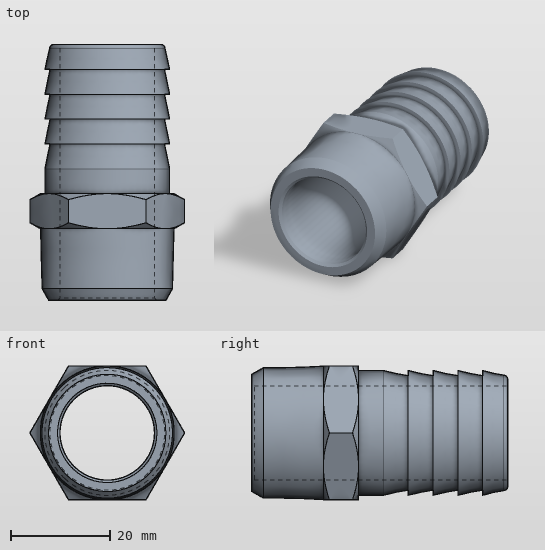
import cadquery as cq
import math

total_length = 51.5
thread_chamfer_length = 2.35
hex_start = 14.4
hex_end = 21.5
barb_pitch = 5.0
barb_count = 4
collar_end = 26.45
tip_rounding = 0.9

thread_end_radius = 11.8
thread_small_radius = 13.15
thread_large_radius = 13.45
barb_radius = 12.55
barb_root_radius = 11.55
tip_radius = 11.65
bore_radius = 9.5
bore_mouth_radius = 10.0

across_flats = 27.0
across_corners = across_flats / math.cos(math.pi / 6)
hex_chamfer_angle = math.radians(30)


def revolve_about_y(profile):
    return profile.close().revolve(360, (0, 0, 0), (0, 1, 0))


def thread_body():
    """Tapered thread blank with a chamfered end, reaching into the hexagon."""
    profile = (
        cq.Workplane("XY")
        .moveTo(0, 0)
        .lineTo(thread_end_radius, 0)
        .lineTo(thread_small_radius, thread_chamfer_length)
        .lineTo(thread_large_radius, hex_start)
        .lineTo(0, hex_start)
    )
    return revolve_about_y(profile)


def hexagon():
    """Hexagonal nut section with conical chamfers on both ends."""
    length = hex_end - hex_start
    prism = (
        cq.Workplane("XZ", origin=(0, hex_end, 0))
        .polygon(6, across_corners)
        .extrude(length)
    )
    flat_radius = across_flats / 2
    corner_radius = across_corners / 2
    drop = (corner_radius - flat_radius) * math.tan(hex_chamfer_angle)
    cone = (
        cq.Workplane("XY")
        .moveTo(0, hex_start)
        .lineTo(flat_radius, hex_start)
        .lineTo(corner_radius, hex_start + drop)
        .lineTo(corner_radius, hex_end - drop)
        .lineTo(flat_radius, hex_end)
        .lineTo(0, hex_end)
    )
    return prism.intersect(revolve_about_y(cone))


def hose_barb():
    """Plain collar followed by saw-tooth barbs and a rounded tip."""
    profile = (
        cq.Workplane("XY")
        .moveTo(0, hex_end)
        .lineTo(barb_radius, hex_end)
        .lineTo(barb_radius, collar_end)
    )
    for index in range(1, barb_count + 1):
        barb_edge = collar_end + index * barb_pitch
        profile = profile.lineTo(barb_root_radius, barb_edge).lineTo(barb_radius, barb_edge)
    round_start = total_length - tip_rounding
    profile = (
        profile.lineTo(tip_radius, round_start)
        .radiusArc((tip_radius - tip_rounding, total_length), -tip_rounding)
        .lineTo(0, total_length)
    )
    return revolve_about_y(profile)


def bore():
    """Through bore with a small chamfer at the threaded end."""
    mouth_depth = bore_mouth_radius - bore_radius
    profile = (
        cq.Workplane("XY")
        .moveTo(0, 0)
        .lineTo(bore_mouth_radius, 0)
        .lineTo(bore_radius, mouth_depth)
        .lineTo(bore_radius, total_length)
        .lineTo(0, total_length)
    )
    return revolve_about_y(profile)


result = thread_body().union(hexagon()).union(hose_barb()).cut(bore())